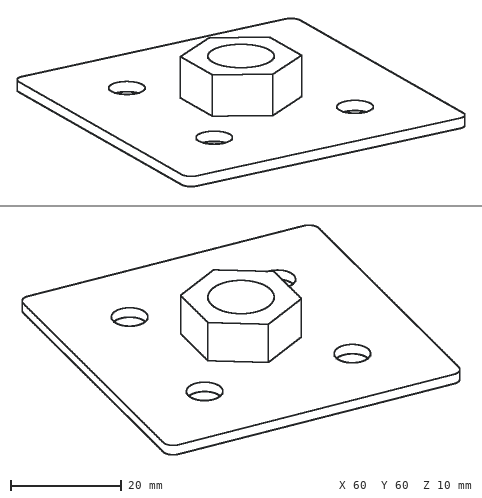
import cadquery as cq
import math

plate_side = 60.0
plate_thickness = 2.0
corner_radius = 2.0

total_height = 10.0
nut_across_flats = 19.0
nut_across_corners = nut_across_flats / math.cos(math.radians(30))
nut_height = total_height - plate_thickness
bore_diameter = 12.0

hole_diameter = 6.6
hole_spacing = plate_side / 2


def make_plate():
    """Square plate resting on Z = 0, with rounded vertical corners."""
    plate = cq.Workplane("XY").rect(plate_side, plate_side).extrude(plate_thickness)
    return plate.edges("|Z").fillet(corner_radius)


def make_nut():
    """Hexagonal prism on the plate, with two corners on the X axis."""
    base = cq.Workplane("XY").workplane(offset=plate_thickness)
    return base.polygon(6, nut_across_corners).extrude(nut_height)


def make_bore():
    """Central bore through the nut and the plate."""
    return cq.Workplane("XY").circle(bore_diameter / 2).extrude(total_height)


def make_mounting_holes():
    """Four through holes at the corners of the hole pattern."""
    pattern = cq.Workplane("XY").rect(hole_spacing, hole_spacing, forConstruction=True)
    return pattern.vertices().circle(hole_diameter / 2).extrude(plate_thickness)


result = make_plate().union(make_nut()).cut(make_bore()).cut(make_mounting_holes())